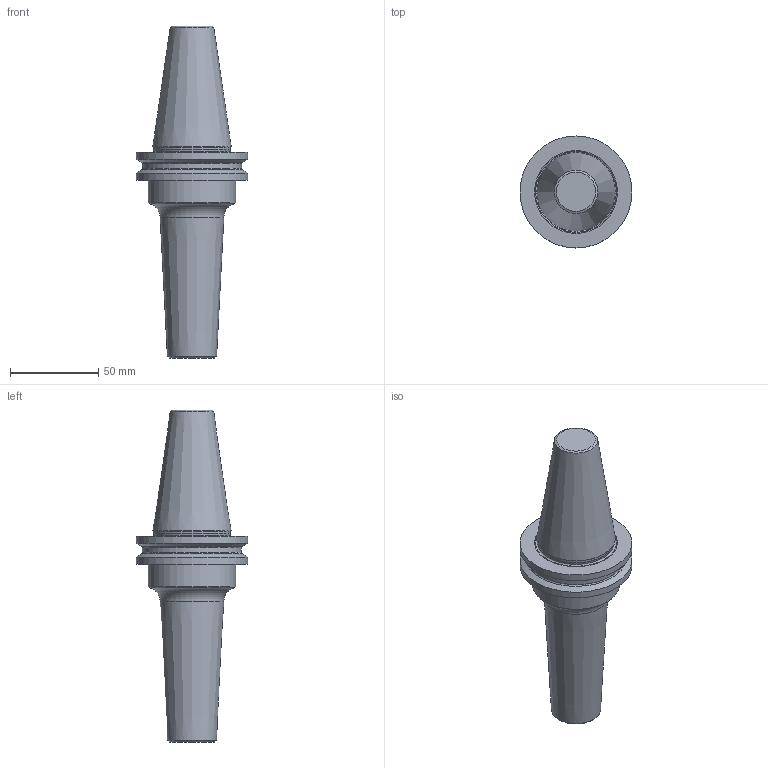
import cadquery as cq
import math


GAUGE_DIA = 44.45
TAPER_RATIO = 7 / 24
TAPER_LENGTH = 68.4
TOP_CHAMFER_WIDTH = 1.1
TOP_CHAMFER_HEIGHT = 0.6

RELIEF_DIA = 43.7
UNDERCUT_TOP = -1.6
UNDERCUT_NECK_DIA = 43.3
UNDERCUT_NECK_BOTTOM = -2.9
UNDERCUT_FLOOR_DIA = 45.8
UNDERCUT_FACE_DIA = 47.0
UNDERCUT_FACE_DEPTH = 0.2

FLANGE_DIA = 63.55
FLANGE_TOP = -3.2
FLANGE_BOTTOM = -19.1
GROOVE_CENTRE = -11.1
GROOVE_FLOOR_DIA = 56.25
GROOVE_FLOOR_WIDTH = 3.75
GROOVE_FLANK_ANGLE = 30.0
GROOVE_FLOOR_FILLET = 1.0

COLLAR_DIA = 49.5
COLLAR_BOTTOM = -32.5
COLLAR_CHAMFER = 0.5

NOSE_TOP = -40.2
NOSE_TOP_DIA = 36.2
NOSE_ARC_RADIUS = 8.0
NOSE_BOTTOM = -120.0
NOSE_HALF_ANGLE = 3.0
NOSE_CHAMFER = 1.0


def taper_radius(height):
    """Radius of the steep taper at a height above the gauge plane."""
    return (GAUGE_DIA - height * TAPER_RATIO) / 2


def revolved(profile):
    """Close an XZ profile and turn it about Z."""
    return profile.close().revolve(360, (0, 0, 0), (0, 1, 0))


def turned_blank():
    """Whole holder with a plain flange rim and a square corner above the flange."""
    chamfer_base = TAPER_LENGTH - TOP_CHAMFER_HEIGHT
    relief_radius = RELIEF_DIA / 2
    relief_top = relief_radius - GAUGE_DIA / 2
    flange_radius = FLANGE_DIA / 2
    collar_radius = COLLAR_DIA / 2

    nose_top_radius = NOSE_TOP_DIA / 2
    nose_slope = math.tan(math.radians(NOSE_HALF_ANGLE))
    nose_chamfer_top = NOSE_BOTTOM + NOSE_CHAMFER
    nose_end_radius = nose_top_radius - (NOSE_TOP - nose_chamfer_top) * nose_slope

    arc_centre = nose_top_radius + NOSE_ARC_RADIUS
    arc_sweep = math.asin((COLLAR_BOTTOM - NOSE_TOP) / NOSE_ARC_RADIUS)

    def arc_point(angle):
        radius = arc_centre - NOSE_ARC_RADIUS * math.cos(angle)
        height = NOSE_TOP + NOSE_ARC_RADIUS * math.sin(angle)
        return radius, height

    profile = (
        cq.Workplane("XZ")
        .moveTo(0, TAPER_LENGTH)
        .lineTo(taper_radius(TAPER_LENGTH) - TOP_CHAMFER_WIDTH, TAPER_LENGTH)
        .lineTo(taper_radius(chamfer_base), chamfer_base)
        .lineTo(taper_radius(0), 0)
        .lineTo(relief_radius, relief_top)
        .lineTo(relief_radius, FLANGE_TOP)
        .lineTo(flange_radius, FLANGE_TOP)
        .lineTo(flange_radius, FLANGE_BOTTOM)
        .lineTo(collar_radius, FLANGE_BOTTOM)
        .lineTo(collar_radius, COLLAR_BOTTOM + COLLAR_CHAMFER)
        .lineTo(collar_radius - COLLAR_CHAMFER, COLLAR_BOTTOM)
        .lineTo(*arc_point(arc_sweep))
        .threePointArc(arc_point(arc_sweep / 2), (nose_top_radius, NOSE_TOP))
        .lineTo(nose_end_radius, nose_chamfer_top)
        .lineTo(nose_end_radius - NOSE_CHAMFER, NOSE_BOTTOM)
        .lineTo(0, NOSE_BOTTOM)
    )
    return revolved(profile)


def corner_undercut():
    """Ring removed at the corner of the relief and the flange's upper face."""
    relief_radius = RELIEF_DIA / 2
    face_radius = UNDERCUT_FACE_DIA / 2
    floor_height = FLANGE_TOP - UNDERCUT_FACE_DEPTH
    profile = (
        cq.Workplane("XZ")
        .moveTo(relief_radius, UNDERCUT_TOP)
        .lineTo(UNDERCUT_NECK_DIA / 2, UNDERCUT_NECK_BOTTOM)
        .tangentArcPoint((UNDERCUT_FLOOR_DIA / 2, floor_height), relative=False)
        .lineTo(face_radius, FLANGE_TOP)
        .lineTo(face_radius, UNDERCUT_TOP)
    )
    return revolved(profile)


def gripper_groove():
    """Ring removed from the flange rim: a V with a flat floor and filleted floor corners."""
    rim_radius = FLANGE_DIA / 2
    floor_radius = GROOVE_FLOOR_DIA / 2
    floor_half_width = GROOVE_FLOOR_WIDTH / 2
    flank_slope = math.tan(math.radians(GROOVE_FLANK_ANGLE))
    mouth_half_width = floor_half_width + (rim_radius - floor_radius) * flank_slope
    profile = (
        cq.Workplane("XZ")
        .moveTo(rim_radius, GROOVE_CENTRE + mouth_half_width)
        .lineTo(floor_radius, GROOVE_CENTRE + floor_half_width)
        .lineTo(floor_radius, GROOVE_CENTRE - floor_half_width)
        .lineTo(rim_radius, GROOVE_CENTRE - mouth_half_width)
    )
    floor_corners = cq.selectors.RadiusNthSelector(0)
    return revolved(profile).edges(floor_corners).fillet(GROOVE_FLOOR_FILLET)


result = turned_blank().cut(corner_undercut()).cut(gripper_groove())